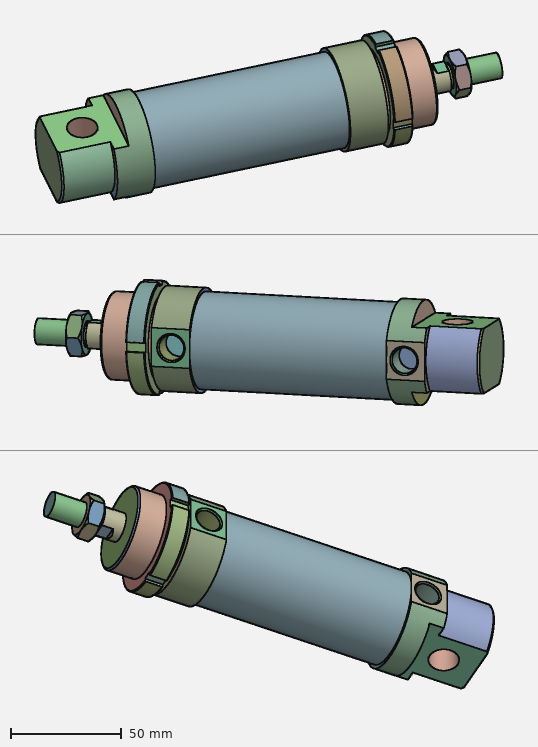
import cadquery as cq
import math


CLEVIS_HOLE_Y = 16.0
CAP_REAR_Y = 25.0
CLEVIS_FLAT_END_Y = 32.0
REAR_PORT_Y = 34.7
CAP_FRONT_Y = 43.0
HEAD_REAR_Y = 135.9
FRONT_PORT_Y = 144.7
HEAD_FRONT_Y = 153.9
RING_REAR_Y = 156.0
NOSE_FRONT_Y = 179.0
COLLAR_FRONT_Y = 189.4
NUT_REAR_Y = 190.9
ROD_TIP_Y = 214.0

CAP_DIAMETER = 48.0
TUBE_DIAMETER = 44.5
NOSE_DIAMETER = 40.2
NOSE_CHAMFER = 0.9
CLEVIS_THICKNESS = 30.0
CLEVIS_HOLE_DIAMETER = 14.0
PORT_DIAMETER = 11.8
PORT_MOUTH_DIAMETER = 13.3
PORT_DEPTH = 12.0

COLLAR_DIAMETER = 14.0
THREAD_DIAMETER = 12.0
NECK_DIAMETER = 10.5
WRENCH_FLAT_WIDTH = 12.0
WRENCH_FLAT_LENGTH = 5.5

NUT_SIDES = 6
NUT_ACROSS_FLATS = 19.0
NUT_THICKNESS = 7.3
NUT_CHAMFER_ANGLE = 35.0

RING_DIAMETER = 52.0
RING_THICKNESS = 9.0
RING_CHAMFER = 0.5
RING_SLOT_WIDTH = 4.5
RING_SLOT_DEPTH = 1.7
RING_SLOT_COUNT = 4


def rod_along_y(diameter, start_y, end_y):
    """Solid cylinder on the Y axis between two stations."""
    plane = cq.Plane(origin=(0, start_y, 0), xDir=(1, 0, 0), normal=(0, 1, 0))
    return cq.Workplane(plane).circle(diameter / 2).extrude(end_y - start_y)


def box_along_y(width, height, start_y, end_y, center_x=0.0, center_z=0.0):
    """Box of the given X width and Z height between two stations."""
    return (
        cq.Workplane("XY")
        .box(width, end_y - start_y, height)
        .translate((center_x, (start_y + end_y) / 2, center_z))
    )


def make_port(port_y):
    """Cutter for an air port with a 45 degree chamfered mouth, opening on the -X flat."""
    flat_x = -TUBE_DIAMETER / 2
    mouth_chamfer = (PORT_MOUTH_DIAMETER - PORT_DIAMETER) / 2
    profile = [
        (flat_x, 0),
        (flat_x, PORT_MOUTH_DIAMETER / 2),
        (flat_x + mouth_chamfer, PORT_DIAMETER / 2),
        (flat_x + PORT_DEPTH, PORT_DIAMETER / 2),
        (flat_x + PORT_DEPTH, 0),
    ]
    cutter = cq.Workplane("XY").polyline(profile).close().revolve(360, (0, 0, 0), (1, 0, 0))
    return cutter.translate((0, port_y, 0))


def make_housing():
    """Rear cap with clevis, tube, head and nose in one piece, bored for the rod."""
    clevis = rod_along_y(NOSE_DIAMETER, 0, CAP_REAR_Y).faces("<Y").chamfer(NOSE_CHAMFER)
    rear_cap = rod_along_y(CAP_DIAMETER, CAP_REAR_Y, CAP_FRONT_Y)
    tube = rod_along_y(TUBE_DIAMETER, CAP_FRONT_Y, HEAD_REAR_Y)
    head = rod_along_y(CAP_DIAMETER, HEAD_REAR_Y, HEAD_FRONT_Y)
    nose = rod_along_y(NOSE_DIAMETER, HEAD_FRONT_Y, NOSE_FRONT_Y)
    nose = nose.faces(">Y").chamfer(NOSE_CHAMFER)
    housing = clevis.union(rear_cap).union(tube).union(head).union(nose)

    flat_depth = (CAP_DIAMETER - CLEVIS_THICKNESS) / 2
    flat_center_z = (CLEVIS_THICKNESS + flat_depth) / 2
    for side in (1, -1):
        flat = box_along_y(
            CAP_DIAMETER, flat_depth, 0, CLEVIS_FLAT_END_Y, center_z=side * flat_center_z
        )
        housing = housing.cut(flat)

    pin_hole = cq.Workplane("XY").circle(CLEVIS_HOLE_DIAMETER / 2).extrude(CAP_DIAMETER, both=True)
    housing = housing.cut(pin_hole.translate((0, CLEVIS_HOLE_Y, 0)))

    port_flat_depth = (CAP_DIAMETER - TUBE_DIAMETER) / 2
    port_flat_x = -(TUBE_DIAMETER + port_flat_depth) / 2
    ports = (
        (CAP_REAR_Y, CAP_FRONT_Y, REAR_PORT_Y),
        (HEAD_REAR_Y, HEAD_FRONT_Y, FRONT_PORT_Y),
    )
    for start_y, end_y, port_y in ports:
        flat = box_along_y(port_flat_depth, CAP_DIAMETER, start_y, end_y, center_x=port_flat_x)
        housing = housing.cut(flat).cut(make_port(port_y))

    return housing.cut(rod_along_y(COLLAR_DIAMETER, HEAD_FRONT_Y, NOSE_FRONT_Y))


def make_piston_rod():
    """Rod seated in the nose bore, with wrench flats, an undercut neck and a threaded end."""
    collar = rod_along_y(COLLAR_DIAMETER, HEAD_FRONT_Y, COLLAR_FRONT_Y)
    flat_rear_y = COLLAR_FRONT_Y - WRENCH_FLAT_LENGTH
    flat_z = WRENCH_FLAT_WIDTH / 2
    flat_depth = COLLAR_DIAMETER / 2 - flat_z
    flat_profile = [
        (flat_rear_y, flat_z),
        (COLLAR_FRONT_Y, flat_z),
        (COLLAR_FRONT_Y, flat_z + flat_depth),
        (flat_rear_y - flat_depth, flat_z + flat_depth),
    ]
    flat = cq.Workplane("YZ").polyline(flat_profile).close().extrude(COLLAR_DIAMETER / 2, both=True)
    collar = collar.cut(flat).cut(flat.mirror("XY"))
    neck = rod_along_y(NECK_DIAMETER, COLLAR_FRONT_Y, NUT_REAR_Y)
    thread = rod_along_y(THREAD_DIAMETER, NUT_REAR_Y, ROD_TIP_Y)
    return collar.union(neck).union(thread)


def make_rod_nut():
    """Hexagon nut with flats facing +Z and -Z and its corners chamfered at both ends."""
    flat_radius = NUT_ACROSS_FLATS / 2
    corner_radius = flat_radius / math.cos(math.pi / NUT_SIDES)
    chamfer_length = (corner_radius - flat_radius) * math.tan(math.radians(NUT_CHAMFER_ANGLE))
    front_y = NUT_REAR_Y + NUT_THICKNESS

    plane = cq.Plane(origin=(0, NUT_REAR_Y, 0), xDir=(1, 0, 0), normal=(0, 1, 0))
    hexagon = cq.Workplane(plane).polygon(NUT_SIDES, 2 * corner_radius).extrude(NUT_THICKNESS)
    envelope_profile = [
        (0, NUT_REAR_Y),
        (flat_radius, NUT_REAR_Y),
        (corner_radius, NUT_REAR_Y + chamfer_length),
        (corner_radius, front_y - chamfer_length),
        (flat_radius, front_y),
        (0, front_y),
    ]
    envelope = cq.Workplane("XY").polyline(envelope_profile).close().revolve(360, (0, 0, 0), (0, 1, 0))
    return hexagon.intersect(envelope).cut(rod_along_y(THREAD_DIAMETER, NUT_REAR_Y, front_y))


def make_ring_nut():
    """Round mounting nut on the nose with equally spaced wrench slots in its rim."""
    front_y = RING_REAR_Y + RING_THICKNESS
    ring = rod_along_y(RING_DIAMETER, RING_REAR_Y, front_y)
    ring = ring.edges("%CIRCLE").chamfer(RING_CHAMFER)
    slot_center_x = (RING_DIAMETER - RING_SLOT_DEPTH) / 2
    slot = box_along_y(RING_SLOT_DEPTH, RING_SLOT_WIDTH, RING_REAR_Y, front_y, center_x=slot_center_x)
    for index in range(RING_SLOT_COUNT):
        ring = ring.cut(slot.rotate((0, 0, 0), (0, 1, 0), index * 360 / RING_SLOT_COUNT))
    return ring.cut(rod_along_y(NOSE_DIAMETER, RING_REAR_Y, front_y))


housing = make_housing()
piston_rod = make_piston_rod()
rod_nut = make_rod_nut()
ring_nut = make_ring_nut()

result = cq.Compound.makeCompound([housing.val(), piston_rod.val(), rod_nut.val(), ring_nut.val()])